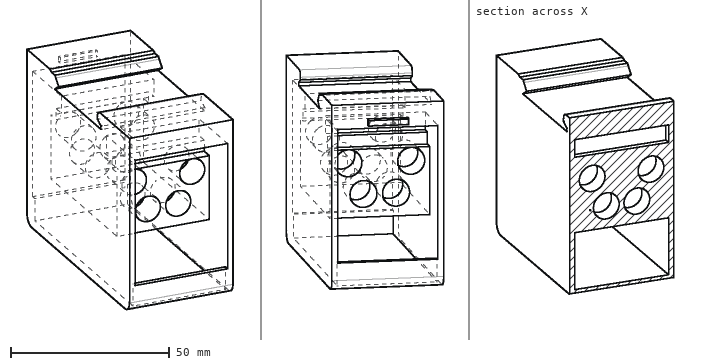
import cadquery as cq

total_length = 79.6
width = 36.0
height = 60.0
tab_reach = 1.5
body_length = total_length - tab_reach
bottom_radius = 3.4

channel_depth = 5.4
channel_left_root = 21.1
channel_right_end = 56.4
hook_radius = 2.0
hook_left = 53.65
hook_flank_top = 2.95
hook_flank_bottom = 4.3

wall = 1.9
end_wall = 1.75
floor_thickness = 1.35
window_bottom = 9.0
window_top = 52.15
inner_width = width - 2 * wall

block_bottom = 20.5
block_setback = 13.85
tier_setback = 4.0
tier_heights = [42.5, 46.3, window_top]

hole_diameter = 8.7
hole_depth = 11.95
upper_hole_offset = 10.1
upper_hole_z = 38.1
lower_hole_offset = 5.25
lower_hole_z = 28.0

tab_width = 12.9
tab_bottom = height - 6.85
tab_tip_top = height - 5.1
tab_root_top = height - 4.85

left = -total_length / 2 + tab_reach
right = total_length / 2
middle = (left + right) / 2


def box_between(x_start, x_end, box_width, z_start, z_end):
    """Box centred on Y between two X and two Z positions."""
    return (
        cq.Workplane("XY")
        .box(x_end - x_start, box_width, z_end - z_start, centered=(False, True, False))
        .translate((x_start, 0, z_start))
    )


def make_body():
    """Solid side outline with the rail channel and rounded bottom edges."""

    def point(along, below_top):
        return (left + along, height - below_top)

    outline = (
        cq.Workplane("XZ")
        .moveTo(left, 0)
        .lineTo(left, height)
        .lineTo(*point(17.4, 0))
        .lineTo(*point(18.8, 0.55))
        .lineTo(*point(21.3, 0.55))
        .lineTo(*point(21.9, 1.2))
        .lineTo(*point(24.2, 3.4))
        .lineTo(*point(channel_left_root, channel_depth))
        .lineTo(*point(channel_right_end, channel_depth))
        .lineTo(*point(channel_right_end, hook_flank_bottom))
        .lineTo(*point(hook_left, hook_flank_top))
        .lineTo(*point(hook_left, hook_radius))
        .tangentArcPoint(point(hook_left + hook_radius, 0), relative=False)
        .lineTo(right, height)
        .lineTo(right, 0)
        .close()
    )
    body = outline.extrude(width / 2, both=True)
    return body.faces("<Z").edges("|Y").fillet(bottom_radius)


def make_cavity():
    """Inner space between the end walls, joined to the end openings."""
    room = box_between(left + end_wall, right - end_wall, inner_width, floor_thickness, window_top)
    windows = box_between(left, right, inner_width, window_bottom, window_top)
    return room.union(windows)


def make_block():
    """Inner block whose end faces step back towards the top."""
    bottoms = [block_bottom] + tier_heights[:-1]
    block = cq.Workplane("XY")
    for level, (bottom, top) in enumerate(zip(bottoms, tier_heights)):
        setback = block_setback + level * tier_setback
        block = block.union(box_between(left + setback, right - setback, inner_width, bottom, top))
    return block


def make_wire_holes():
    """Four blind holes running inward from each end face of the block."""
    centres = []
    for side in (-1, 1):
        centres.append((side * upper_hole_offset, upper_hole_z))
        centres.append((side * lower_hole_offset, lower_hole_z))
    holes = (
        cq.Workplane("YZ", origin=(left + block_setback, 0, 0))
        .pushPoints(centres)
        .circle(hole_diameter / 2)
        .extrude(hole_depth)
    )
    return holes.union(holes.mirror("YZ", (middle, 0, 0)))


def make_tab():
    """Small tab whose top slopes down towards its tip."""
    tip = left - tab_reach
    return (
        cq.Workplane("XZ")
        .polyline([(left, tab_bottom), (tip, tab_bottom), (tip, tab_tip_top), (left, tab_root_top)])
        .close()
        .extrude(tab_width / 2, both=True)
    )


block = make_block().cut(make_wire_holes())
housing = make_body().cut(make_cavity())
result = housing.union(block).union(make_tab()).translate((0, 0, -height / 2))